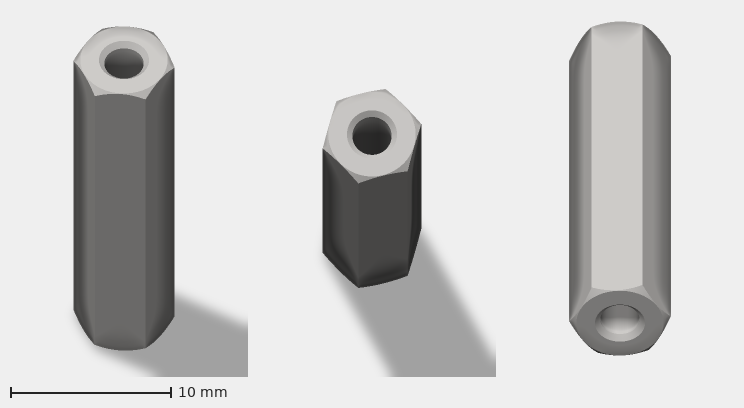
import cadquery as cq
import math

length = 25.0
across_flats = 5.5
across_corners = across_flats / math.cos(math.radians(30))
corner_radius = across_corners / 2

end_face_radius = 2.72
chamfer_height = 0.4

bore_radius = 2.45 / 2
throat_radius = 1.8 / 2
drill_point_angle = 118.0
drill_point_depth = (bore_radius - throat_radius) / math.tan(math.radians(drill_point_angle / 2))

countersink_radius = 3.12 / 2
countersink_depth = countersink_radius - bore_radius


def revolved(profile):
    """Solid of revolution about Z from (radius, height) points."""
    return cq.Workplane("XZ").polyline(profile).close().revolve(360, (0, 0), (0, 1))


def chamfer_envelope():
    """Cylinder with coned ends that trims the hexagon corners."""
    return revolved([
        (0, 0),
        (end_face_radius, 0),
        (corner_radius, chamfer_height),
        (corner_radius, length - chamfer_height),
        (end_face_radius, length),
        (0, length),
    ])


def bore():
    """Countersunk through bore narrowing to the throat at mid length."""
    middle = length / 2
    return revolved([
        (0, 0),
        (countersink_radius, 0),
        (bore_radius, countersink_depth),
        (bore_radius, middle - drill_point_depth),
        (throat_radius, middle),
        (bore_radius, middle + drill_point_depth),
        (bore_radius, length - countersink_depth),
        (countersink_radius, length),
        (0, length),
    ])


hexagon = cq.Workplane("XY").polygon(6, across_corners).extrude(length)
result = hexagon.intersect(chamfer_envelope()).cut(bore())